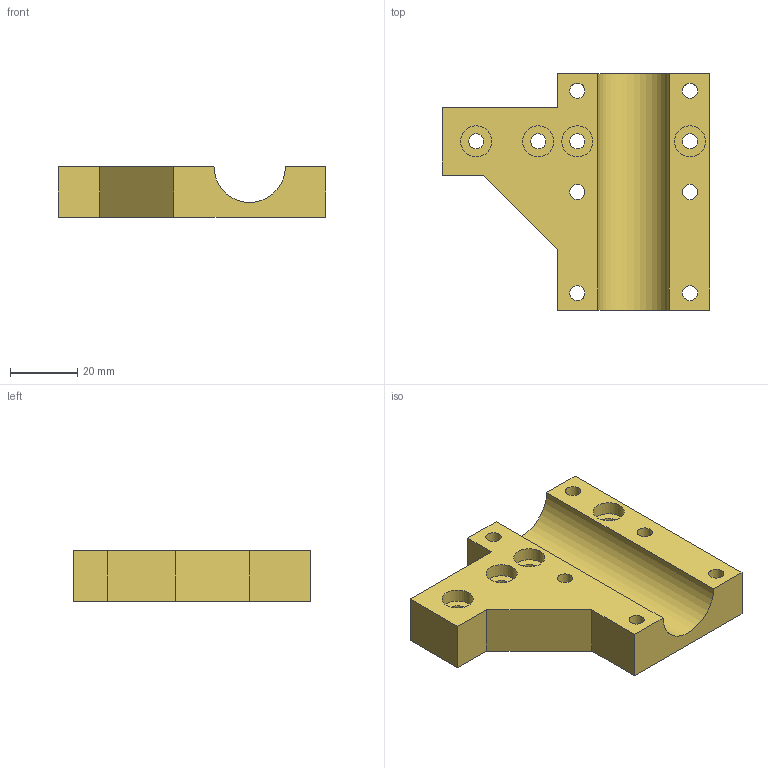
import cadquery as cq

thickness = 15.0
block_width = 45.0
block_length = 70.0
bore_diameter = 21.2

arm_reach = 34.2
arm_width = 20.0
arm_setback = 10.0
gusset_leg = 22.0

screw_diameter = 4.5
head_diameter = 9.2
head_depth = 4.0
edge_distance = 5.0
pitch = 15.0
row_offset = 16.7
arm_outer_inset = 10.0
arm_hole_spacing = 18.4

block_left = -block_width / 2
block_right = block_width / 2
block_back = block_length / 2
block_front = -block_length / 2
arm_left = block_left - arm_reach
arm_back = block_back - arm_setback
arm_front = arm_back - arm_width
arm_center_y = (arm_back + arm_front) / 2

plain_rows = [
    block_back - edge_distance,
    block_back - edge_distance - 2 * pitch,
    block_front + edge_distance,
]
plain_holes = [(side * row_offset, y) for side in (-1, 1) for y in plain_rows]

arm_outer_x = arm_left + arm_outer_inset
counterbored_holes = [
    (x, arm_center_y)
    for x in (arm_outer_x, arm_outer_x + arm_hole_spacing, -row_offset, row_offset)
]


def make_plate():
    """Rectangular block with the side arm and its gusset, as one extruded outline."""
    outline = [
        (block_right, block_front),
        (block_right, block_back),
        (block_left, block_back),
        (block_left, arm_back),
        (arm_left, arm_back),
        (arm_left, arm_front),
        (block_left - gusset_leg, arm_front),
        (block_left, arm_front - gusset_leg),
        (block_left, block_front),
    ]
    return cq.Workplane("XY").polyline(outline).close().extrude(thickness)


def cut_bore(body):
    """Half-round channel along Y, centred on the top face."""
    channel = (
        cq.Workplane("XZ", origin=(0, block_back, 0))
        .center(0, thickness)
        .circle(bore_diameter / 2)
        .extrude(block_length)
    )
    return body.cut(channel)


def drill_from_top(body, points, diameter, depth):
    """Round holes sunk from the top face to the given depth."""
    tools = (
        cq.Workplane("XY")
        .workplane(offset=thickness - depth)
        .pushPoints(points)
        .circle(diameter / 2)
        .extrude(depth)
    )
    return body.cut(tools)


result = make_plate()
result = cut_bore(result)
result = drill_from_top(result, plain_holes + counterbored_holes, screw_diameter, thickness)
result = drill_from_top(result, counterbored_holes, head_diameter, head_depth)